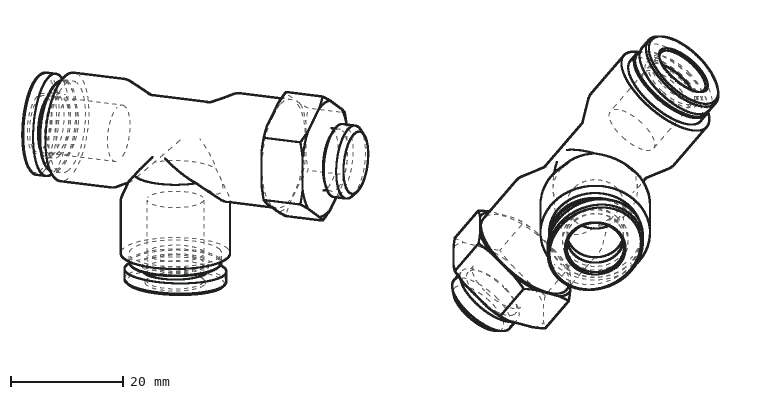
import cadquery as cq
import math

ARM_LENGTH = 26.4
FLANGE_THICKNESS = 2.3
COLLAR_LENGTH = 3.55
RING_LENGTH = 1.85
STUD_START = 47.4
HEX_LENGTH = 8.0
OVERALL_LENGTH = 61.4

SOCKET_DIAMETER = 19.5
WAIST_DIAMETER = 15.05
SHOULDER_OFFSET = 11.0
WAIST_OFFSET = 6.0
EDGE_ROUND = 0.85
BORE_DIAMETER = 10.15

FLANGE_HALF_LENGTH = 9.3
FLANGE_HALF_WIDTH = 8.05
FLANGE_CHAMFER = 0.35
NECK_DIAMETER = 11.7
TUBE_DIAMETER = 10.2
MOUTH_CHAMFER = 0.3
RING_DIAMETER = 16.5
RING_CHAMFER = 0.2

HEX_ACROSS_FLATS = 20.0
HEX_FACE_DIAMETER = 20.9
HEX_CHAMFER_LENGTH = 0.4
THREAD_DIAMETER = 13.15
RELIEF_DIAMETER = 11.2
RELIEF_END = 57.4
RELIEF_FILLET = 0.5
THREAD_START = 58.0

SOCKET_FACE = ARM_LENGTH - COLLAR_LENGTH - RING_LENGTH
BORE_DEPTH = SOCKET_FACE - SHOULDER_OFFSET


def revolved_about_x(points):
    """Revolve an outline, given as (axial, radial) points, about the X axis."""
    return cq.Workplane("XZ").polyline(points).close().revolve(360, (0, 0), (1, 0))


def turn_down(body):
    """Carry a body from the left arm to the branch arm; both are built about the tee centre."""
    return body.rotate((0, 0, 0), (0, 1, 0), -90)


def to_place(body):
    """Move a body from the tee centre to its final position."""
    return body.translate((ARM_LENGTH, 0, 0))


def round_edges_between(body, start, end):
    """Round the circular edges of a body on the X axis whose axial place is between two values."""
    reach = SOCKET_DIAMETER
    zone = cq.selectors.BoxSelector((start, -reach, -reach), (end, reach, reach))
    return body.edges("%CIRCLE").edges(zone).fillet(EDGE_ROUND)


def make_housing():
    socket_radius = SOCKET_DIAMETER / 2
    waist_radius = WAIST_DIAMETER / 2
    stud_face = STUD_START - ARM_LENGTH
    socket_and_cone = [
        (-SOCKET_FACE, 0),
        (-SOCKET_FACE, socket_radius),
        (-SHOULDER_OFFSET, socket_radius),
        (-WAIST_OFFSET, waist_radius),
    ]

    run = revolved_about_x(
        socket_and_cone
        + [
            (WAIST_OFFSET, waist_radius),
            (SHOULDER_OFFSET, socket_radius),
            (stud_face, socket_radius),
            (stud_face, 0),
        ]
    )
    run = round_edges_between(run, -SHOULDER_OFFSET - EDGE_ROUND, SHOULDER_OFFSET + EDGE_ROUND)

    branch = revolved_about_x(socket_and_cone + [(0, waist_radius), (0, 0)])
    branch = round_edges_between(branch, -SHOULDER_OFFSET - EDGE_ROUND, -SHOULDER_OFFSET + EDGE_ROUND)

    bore = cq.Workplane("YZ", origin=(-SOCKET_FACE, 0, 0)).circle(BORE_DIAMETER / 2).extrude(BORE_DEPTH)
    return to_place(run.union(turn_down(branch)).cut(bore).cut(turn_down(bore)))


def make_collar():
    """Release collar of the left arm: an oval flange and a round neck around the tube hole."""
    face = cq.Workplane("YZ", origin=(-ARM_LENGTH, 0, 0))
    flange = face.ellipse(FLANGE_HALF_WIDTH, FLANGE_HALF_LENGTH).extrude(FLANGE_THICKNESS)
    flange = flange.faces("<X").chamfer(FLANGE_CHAMFER)
    neck = face.circle(NECK_DIAMETER / 2).extrude(COLLAR_LENGTH)
    hole = face.circle(TUBE_DIAMETER / 2).extrude(COLLAR_LENGTH)
    collar = flange.union(neck).cut(hole)
    return collar.faces("<X").edges("%CIRCLE").chamfer(MOUTH_CHAMFER)


def make_ring():
    """Retaining ring of the left arm, seated on the end of the socket."""
    ring = (
        cq.Workplane("YZ", origin=(-SOCKET_FACE - RING_LENGTH, 0, 0))
        .circle(RING_DIAMETER / 2)
        .extrude(RING_LENGTH)
        .faces("<X")
        .chamfer(RING_CHAMFER)
    )
    return ring.faces("<X").workplane().circle(BORE_DIAMETER / 2).cutThruAll()


def make_stud():
    hex_end = STUD_START + HEX_LENGTH
    corner_radius = HEX_ACROSS_FLATS / math.sqrt(3)
    face_radius = HEX_FACE_DIAMETER / 2
    thread_radius = THREAD_DIAMETER / 2
    relief_radius = RELIEF_DIAMETER / 2
    end_chamfer = thread_radius - relief_radius

    hexagon = cq.Workplane("YZ", origin=(STUD_START, 0, 0)).polygon(6, 2 * corner_radius).extrude(HEX_LENGTH)
    hexagon = hexagon.rotate((0, 0, 0), (1, 0, 0), 90)
    corner_envelope = revolved_about_x(
        [
            (STUD_START, 0),
            (STUD_START, face_radius),
            (STUD_START + HEX_CHAMFER_LENGTH, corner_radius),
            (hex_end - HEX_CHAMFER_LENGTH, corner_radius),
            (hex_end, face_radius),
            (hex_end, 0),
        ]
    )
    hexagon = hexagon.intersect(corner_envelope)

    fillet_middle = RELIEF_FILLET * (1 - math.sqrt(0.5))
    thread = (
        cq.Workplane("XZ")
        .moveTo(hex_end, 0)
        .lineTo(hex_end, relief_radius + RELIEF_FILLET)
        .threePointArc(
            (hex_end + fillet_middle, relief_radius + fillet_middle),
            (hex_end + RELIEF_FILLET, relief_radius),
        )
        .lineTo(RELIEF_END, relief_radius)
        .lineTo(THREAD_START, thread_radius)
        .lineTo(OVERALL_LENGTH - end_chamfer, thread_radius)
        .lineTo(OVERALL_LENGTH, relief_radius)
        .lineTo(OVERALL_LENGTH, 0)
        .close()
        .revolve(360, (0, 0), (1, 0))
    )
    return hexagon.union(thread)


housing = make_housing()
stud = make_stud()
collars = []
rings = []
for points_down in (False, True):
    for make_body, bodies in ((make_collar, collars), (make_ring, rings)):
        body = make_body()
        if points_down:
            body = turn_down(body)
        bodies.append(to_place(body).val())

result = cq.Compound.makeCompound([housing.val(), stud.val(), *collars, *rings])